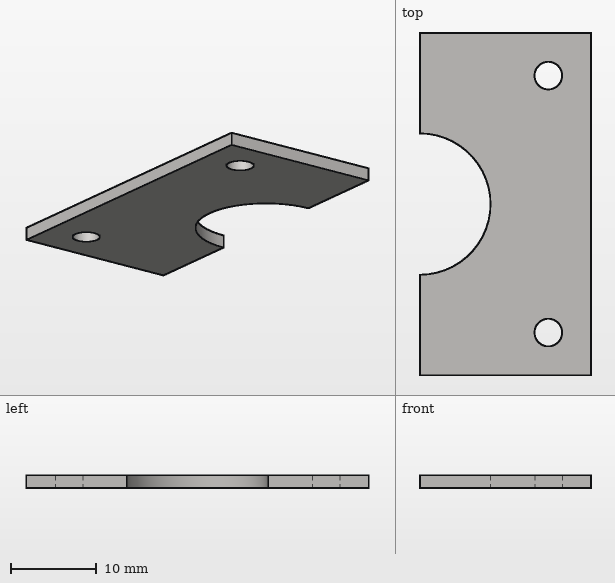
import cadquery as cq

width = 20.0
length = 40.0
thickness = 1.5

notch_radius = 8.25

hole_diameter = 3.2
hole_edge_distance = 5.0
hole_x = width / 2 - hole_edge_distance
hole_y = length / 2 - hole_edge_distance

plate = cq.Workplane("XY").rect(width, length).extrude(thickness)

notch = cq.Workplane("XY").center(-width / 2, 0).circle(notch_radius).extrude(thickness)

holes = (
    cq.Workplane("XY")
    .pushPoints([(hole_x, -hole_y), (hole_x, hole_y)])
    .circle(hole_diameter / 2)
    .extrude(thickness)
)

result = plate.cut(notch).cut(holes)